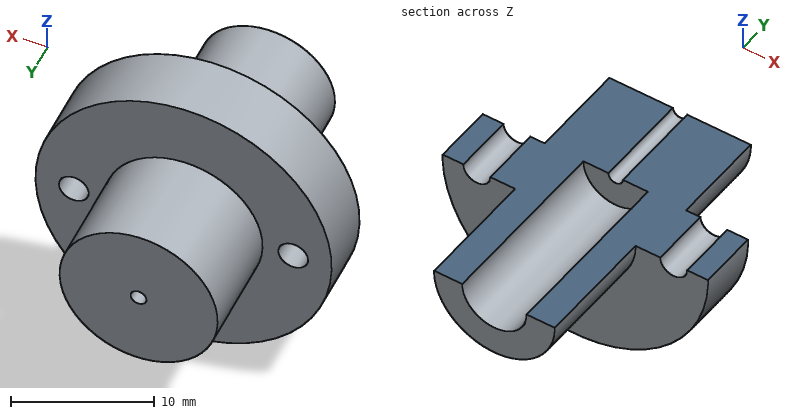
import cadquery as cq

total_length = 23.0
front_boss_length = 10.0
flange_thickness = 5.0
rear_boss_length = total_length - front_boss_length - flange_thickness

flange_diameter = 22.5
front_boss_diameter = 10.24
rear_boss_diameter = 12.0
bore_diameter = 5.43
orifice_diameter = 1.2
mounting_hole_diameter = 2.25
mounting_hole_spacing = 16.65

bore_depth = front_boss_length + flange_thickness


def cylinder(diameter, length, start_y, center_x=0):
    """Cylinder along +Y, starting at start_y."""
    return cq.Workplane(
        cq.Solid.makeCylinder(
            diameter / 2, length, cq.Vector(center_x, start_y, 0), cq.Vector(0, 1, 0)
        )
    )


flange_front = front_boss_length
flange_back = flange_front + flange_thickness
body = cylinder(front_boss_diameter, front_boss_length, 0)
body = body.union(cylinder(flange_diameter, flange_thickness, flange_front))
body = body.union(cylinder(rear_boss_diameter, rear_boss_length, flange_back))

body = body.cut(cylinder(bore_diameter, bore_depth, 0))
body = body.cut(cylinder(orifice_diameter, total_length, 0))

for side in (-1, 1):
    hole_x = side * mounting_hole_spacing / 2
    body = body.cut(cylinder(mounting_hole_diameter, flange_thickness, flange_front, hole_x))

result = body